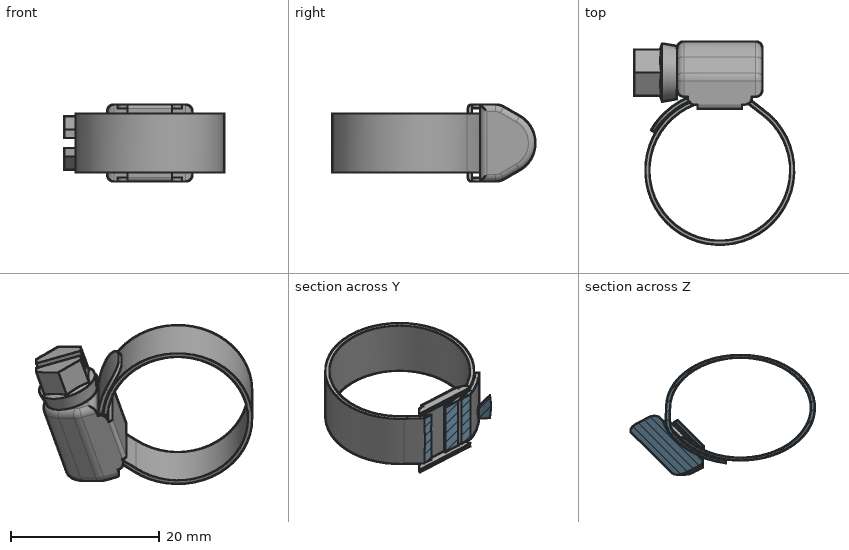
import cadquery as cq
import math


band_width = 7.95
band_outer_radius = 10.05
band_thickness = 0.58
tail_outer_radius = 10.75
ramp_start_angle = 54.5
ramp_end_angle = 84.0
inner_end_angle = 90.0
tail_end_angle = 149.7
tail_corner_radius = 3.02
band_inner_radius = band_outer_radius - band_thickness
tail_inner_radius = tail_outer_radius - band_thickness

housing_length = 11.53
housing_width = 10.4
screw_axis_y = 13.18
crown_radius = 4.23
crown_angle = 60.0
shoulder_radius = 2.2
housing_base_y = 9.9
end_fillet = 0.95
skirt_length = 8.68
skirt_thickness = 0.55
skirt_corner_radius = 1.0
strap_length = 6.05
strap_thickness = 0.58
strap_edge_radius = 0.55
strap_bottom_y = 8.27
strap_top_y = strap_bottom_y + strap_thickness

screw_tip_x = -11.53
hex_across_flats = 6.3
collar_back_x = -housing_length / 2
collar_back_radius = 3.6
collar_rim_x = -7.77
collar_rim_radius = 3.95
collar_front_x = -8.05
collar_front_radius = hex_across_flats / 2
slot_width = 1.32
slot_depth = 2.05


def polar(radius, angle):
    """Point in the XY plane at an angle in degrees from +X."""
    return (radius * math.cos(math.radians(angle)), radius * math.sin(math.radians(angle)))


def tangent(angle):
    """Counter-clockwise unit direction of a circle about the origin."""
    return cq.Vector(*polar(1, angle + 90))


def arc_edge(radius, start, end):
    points = [cq.Vector(*polar(radius, a)) for a in (start, (start + end) / 2, end)]
    return cq.Edge.makeThreePointArc(*points)


def ramp_edge(loop_radius, tail_radius):
    """Smooth change from the loop radius to the tail radius."""
    ends = [
        cq.Vector(*polar(loop_radius, ramp_start_angle)),
        cq.Vector(*polar(tail_radius, ramp_end_angle)),
    ]
    return cq.Edge.makeSpline(ends, tangents=[tangent(ramp_start_angle), tangent(ramp_end_angle)])


def radial_edge(inner_radius, outer_radius, angle):
    return cq.Edge.makeLine(
        cq.Vector(*polar(inner_radius, angle)), cq.Vector(*polar(outer_radius, angle))
    )


def band_side(loop_radius, tail_radius):
    """Edges along one face of the strip, from the inner end to the tail end."""
    return [
        arc_edge(loop_radius, inner_end_angle, ramp_start_angle + 360),
        ramp_edge(loop_radius, tail_radius),
        arc_edge(tail_radius, ramp_end_angle, tail_end_angle),
    ]


def tail_corner(side):
    """Material outside one rounded corner of the tail; side is +1 or -1 along Z."""
    straight_half = band_width / 2 - tail_corner_radius
    cut_reach = tail_outer_radius + band_thickness
    block_z = side * (straight_half + tail_corner_radius / 2)
    block = (
        cq.Workplane("XY")
        .box(cut_reach, tail_corner_radius, tail_corner_radius, centered=(False, True, True))
        .translate((0, -tail_corner_radius / 2, block_z))
    )
    rounding = (
        cq.Workplane("YZ")
        .center(-tail_corner_radius, side * straight_half)
        .circle(tail_corner_radius)
        .extrude(cut_reach)
    )
    gap_radius = (band_outer_radius + tail_inner_radius) / 2
    loop_clearance = cq.Workplane("XY").circle(gap_radius).extrude(band_width, both=True)
    corner = block.cut(rounding).cut(loop_clearance)
    return corner.rotate((0, 0, 0), (0, 0, 1), tail_end_angle)


def make_band():
    edges = [
        radial_edge(band_inner_radius, band_outer_radius, inner_end_angle),
        *band_side(band_outer_radius, tail_outer_radius),
        radial_edge(tail_inner_radius, tail_outer_radius, tail_end_angle),
        *band_side(band_inner_radius, tail_inner_radius),
    ]
    outline = cq.Wire.combine(edges)[0]
    strip = cq.Solid.extrudeLinear(outline, [], cq.Vector(0, 0, band_width))
    band = cq.Workplane(strip).translate((0, 0, -band_width / 2))
    for side in (1, -1):
        band = band.cut(tail_corner(side))
    return band


def make_housing_block():
    """Prism with a round crown, sloping sides and rounded shoulders."""
    half_width = housing_width / 2
    slope_normal = math.radians(crown_angle)

    def crown_point(angle):
        return (screw_axis_y + crown_radius * math.cos(angle), crown_radius * math.sin(angle))

    shoulder_z = half_width - shoulder_radius
    shoulder_y = screw_axis_y + (
        crown_radius - shoulder_radius - shoulder_z * math.sin(slope_normal)
    ) / math.cos(slope_normal)

    def shoulder_point(angle):
        return (
            shoulder_y + shoulder_radius * math.cos(angle),
            shoulder_z + shoulder_radius * math.sin(angle),
        )

    def mirrored(point):
        return (point[0], -point[1])

    slope_top = crown_point(slope_normal)
    slope_end = shoulder_point(slope_normal)
    shoulder_middle = shoulder_point((slope_normal + math.pi / 2) / 2)
    shoulder_end = shoulder_point(math.pi / 2)
    return (
        cq.Workplane("YZ")
        .moveTo(housing_base_y, -half_width)
        .lineTo(*mirrored(shoulder_end))
        .threePointArc(mirrored(shoulder_middle), mirrored(slope_end))
        .lineTo(*mirrored(slope_top))
        .threePointArc(crown_point(0), slope_top)
        .lineTo(*slope_end)
        .threePointArc(shoulder_middle, shoulder_end)
        .lineTo(housing_base_y, half_width)
        .close()
        .extrude(housing_length / 2, both=True)
        .faces("<X or >X")
        .edges()
        .fillet(end_fillet)
    )


def make_skirt(side):
    """Side plate hanging below the block; side is +1 or -1 along Z."""
    height = housing_base_y - strap_top_y
    middle_z = side * (housing_width - skirt_thickness) / 2
    return (
        cq.Workplane("XY")
        .box(skirt_length, height, skirt_thickness)
        .edges("|Z and <Y")
        .fillet(skirt_corner_radius)
        .translate((0, (housing_base_y + strap_top_y) / 2, middle_z))
    )


def make_strap():
    """Plate under the band that joins the two skirts, rounded along its outer edges."""
    return (
        cq.Workplane("XY")
        .box(strap_length, strap_thickness, housing_width)
        .edges("|X and <Y")
        .fillet(strap_edge_radius)
        .translate((0, strap_bottom_y + strap_thickness / 2, 0))
    )


def make_housing():
    seat = cq.Workplane("XY").circle(tail_outer_radius).extrude(band_width / 2, both=True)
    housing = make_housing_block().cut(seat)
    for side in (1, -1):
        housing = housing.union(make_skirt(side))
    return housing.union(make_strap())


def make_screw():
    collar = (
        cq.Workplane("XY")
        .moveTo(collar_back_x, 0)
        .lineTo(collar_back_x, collar_back_radius)
        .lineTo(collar_rim_x, collar_rim_radius)
        .lineTo(collar_front_x, collar_front_radius)
        .lineTo(collar_front_x, 0)
        .close()
        .revolve(360, (0, 0, 0), (1, 0, 0))
    )
    hexagon = (
        cq.Workplane("YZ")
        .workplane(offset=screw_tip_x)
        .polygon(6, hex_across_flats, circumscribed=True)
        .extrude(collar_rim_x - screw_tip_x)
    )
    slot = (
        cq.Workplane("XY")
        .box(slot_depth, 2 * collar_rim_radius, slot_width, centered=(False, True, True))
        .translate((screw_tip_x, 0, 0))
    )
    return collar.union(hexagon).cut(slot).translate((0, screw_axis_y, 0))


band = make_band()
housing = make_housing()
screw = make_screw()

result = cq.Compound.makeCompound([body.solids().val() for body in (band, housing, screw)])